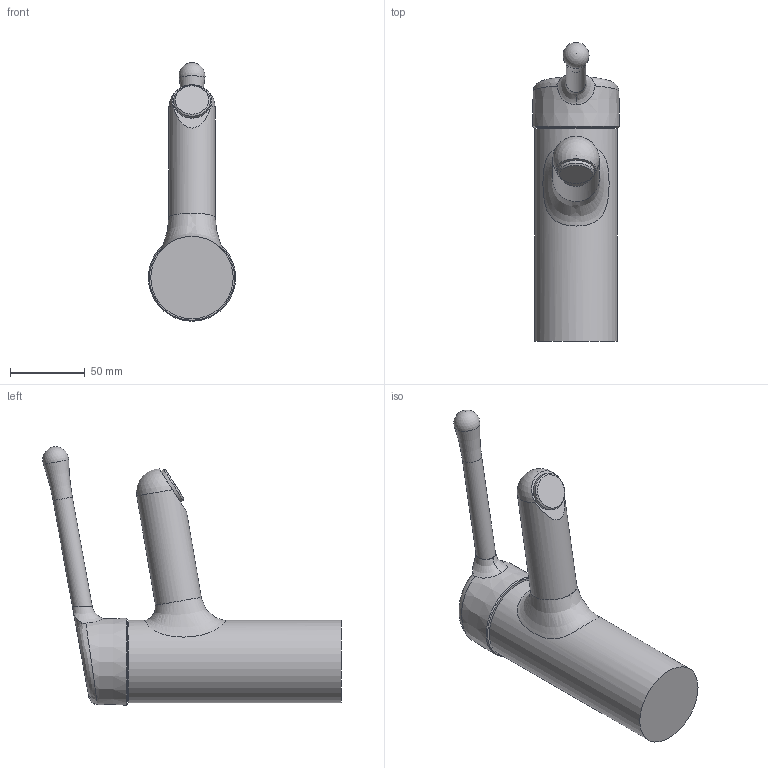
import cadquery as cq
import math

TOTAL_LENGTH = 199.27
TOTAL_HEIGHT = 172.46

BODY_RADIUS = 27.5

NECK_RADIUS = 50.76 / 2
NECK_START_Y = 142.0
NECK_END_Y = 150.0

CAP_FRONT_RADIUS = 58.18 / 2
CAP_BACK_RADIUS = 28.1
CAP_FRONT_Y = 142.7
CAP_BACK_Y = 190.0
CAP_CHAMFER = 0.7
CAP_ROUND = 6.0

LEVER_TILT = 10.3
ROD_RADIUS = 13.0 / 2
KNOB_RADIUS = 8.7
KNOB_Y = TOTAL_LENGTH - KNOB_RADIUS
KNOB_Z = TOTAL_HEIGHT - CAP_FRONT_RADIUS - KNOB_RADIUS
FLARE_START = 26.5
FLARE_END_ANGLE = 10.6
LEVER_ROOT = 99.5
LEVER_ROOT_WIDTH = 27.0
LEVER_ROOT_ROUND = 10.0
LEVER_ROOT_REACH = 54.0
LEVER_SINK = 12.0

SPOUT_TILT = 9.75
SPOUT_RADIUS = 31.0 / 2
DOME_Y = 121.2
DOME_Z = 113.2
SPOUT_ROOT = 74.0
OUTLET_TILT = 32.5
OUTLET_DEPTH = 8.0
AERATOR_SHIFT = -0.9
AERATOR_RADIUS = 12.2
AERATOR_HEIGHT = 3.3
AERATOR_CHAMFER = 1.0

BLEND_RINGS = 9
BLEND_POINTS = 36
BLEND_OVERLAP = 0.1
LANDING_PASSES = 3
CORE_SHRINK = 0.5

CUT_SIZE = 300.0


def lean_axis(tilt):
    """Unit vector in the YZ plane, leaning back from vertical by the tilt angle."""
    angle = math.radians(tilt)
    return cq.Vector(0, math.sin(angle), math.cos(angle))


def lean_front(tilt):
    """Unit vector square to the leaning axis, pointing to the front."""
    axis = lean_axis(tilt)
    return cq.Vector(0, -axis.z, axis.y)


KNOB_CENTRE = cq.Vector(0, KNOB_Y, KNOB_Z)
DOME_CENTRE = cq.Vector(0, DOME_Y, DOME_Z)
X_DIR = cq.Vector(1, 0, 0)


def body_radius(_y):
    return BODY_RADIUS


def cap_radius(y):
    share = (y - CAP_FRONT_Y) / (CAP_BACK_Y - CAP_FRONT_Y)
    return CAP_FRONT_RADIUS + share * (CAP_BACK_RADIUS - CAP_FRONT_RADIUS)


def ball_arc(angle, foot, tilt, radius, host_radius, hold_tilt):
    """Start, centre and end of the arc touching both a leaning rod and a cylinder along Y.

    foot is the rod's centre point where the blend starts; hold_tilt leans the start ring.
    """
    axis = lean_axis(tilt)
    outward = X_DIR * math.sin(angle) + lean_front(tilt) * math.cos(angle)
    ring_normal = lean_axis(hold_tilt)
    start = foot + outward * radius
    start -= axis * (radius * outward.dot(ring_normal) / axis.dot(ring_normal))
    a = outward.x**2 + outward.z**2 - 1
    b = 2 * (start.x * outward.x + start.z * outward.z - host_radius)
    c = start.x**2 + start.z**2 - host_radius**2
    arc_radius = 2 * c / (math.sqrt(b**2 - 4 * a * c) - b)
    centre = start + outward * arc_radius
    to_centre = cq.Vector(centre.x, 0, centre.z).normalized()
    end = to_centre * host_radius + cq.Vector(0, centre.y, 0)
    return start, centre, end


def arc_points(start, centre, end, count):
    """Evenly spaced points along an arc."""
    first = start - centre
    last = end - centre
    sweep = first.getAngle(last)
    points = []
    for step in range(count):
        turn = sweep * step / (count - 1)
        offset = first * math.sin(sweep - turn) + last * math.sin(turn)
        points.append(centre + offset * (1 / math.sin(sweep)))
    return points


def closed_curve(points):
    return cq.Wire.assembleEdges([cq.Edge.makeSpline(points, periodic=True)])


def make_root_blend(foot, tilt, radius, host_radius, hold_tilt):
    """Solid skirt flowing from a leaning rod into a cylinder along Y."""
    shapes = cq.occ_impl.shapes
    arcs = []
    for step in range(BLEND_POINTS):
        angle = 2 * math.pi * step / BLEND_POINTS
        landing_y = foot.y
        for _ in range(LANDING_PASSES):
            reach = host_radius(landing_y) - BLEND_OVERLAP
            arc = ball_arc(angle, foot, tilt, radius, reach, hold_tilt)
            landing_y = arc[-1].y
        arcs.append(arc_points(*arc, BLEND_RINGS))
    rings = [closed_curve(list(ring)) for ring in zip(*arcs)]
    core_points = []
    for arc in arcs:
        shrunk_y = foot.y + CORE_SHRINK * (arc[-1].y - foot.y)
        core_points.append(cq.Vector(CORE_SHRINK * arc[-1].x, shrunk_y, 0))
    core_ring = closed_curve(core_points)
    skirt = shapes.loft(*rings)
    core = shapes.loft(rings[-1], core_ring, ruled=True)
    lids = [shapes.fill(rings[0]), shapes.fill(core_ring)]
    return cq.Workplane(shapes.solid(shapes.shell(skirt, core, *lids)))


def make_body():
    body = cq.Workplane("XZ").circle(BODY_RADIUS).extrude(-NECK_START_Y)
    neck = cq.Workplane("XZ").circle(NECK_RADIUS).extrude(-NECK_END_Y)
    return body.union(neck)


def lever_back_plane():
    """Plane touching the back of the rod, with its normal pointing to the front."""
    front = lean_front(LEVER_TILT)
    return cq.Plane(origin=KNOB_CENTRE - front * ROD_RADIUS, xDir=X_DIR, normal=front)


def make_cap():
    profile = [
        (0, CAP_FRONT_Y),
        (CAP_FRONT_RADIUS - CAP_CHAMFER, CAP_FRONT_Y),
        (CAP_FRONT_RADIUS, CAP_FRONT_Y + CAP_CHAMFER),
        (CAP_BACK_RADIUS, CAP_BACK_Y),
        (0, CAP_BACK_Y),
    ]
    cone = cq.Workplane("XY").polyline(profile).close().revolve(360, (0, 0), (0, 1))
    behind = cq.Workplane(lever_back_plane()).rect(CUT_SIZE, 2 * CUT_SIZE).extrude(-CUT_SIZE)
    return cone.cut(behind).faces(">Y").edges().fillet(CAP_ROUND)


def make_lever():
    front = lean_front(LEVER_TILT)
    join_angle = math.radians(FLARE_END_ANGLE)
    join = (KNOB_RADIUS * math.cos(join_angle), -KNOB_RADIUS * math.sin(join_angle))
    diagonal = KNOB_RADIUS * math.sqrt(0.5)
    rod_end = -LEVER_ROOT - LEVER_SINK
    return (
        cq.Workplane(cq.Plane(origin=KNOB_CENTRE, xDir=X_DIR, normal=front))
        .moveTo(0, rod_end)
        .lineTo(ROD_RADIUS, rod_end)
        .lineTo(ROD_RADIUS, -FLARE_START)
        .tangentArcPoint(join, relative=False)
        .threePointArc((diagonal, diagonal), (0, KNOB_RADIUS))
        .close()
        .revolve(360, (0, 0), (0, 1))
    )


def make_lever_root():
    foot = KNOB_CENTRE - lean_axis(LEVER_TILT) * LEVER_ROOT
    skirt = make_root_blend(foot, LEVER_TILT, ROD_RADIUS, cap_radius, 0)
    along_lever = cq.selectors.ParallelDirSelector(lean_axis(LEVER_TILT))
    keep = (
        cq.Workplane(lever_back_plane())
        .rect(LEVER_ROOT_WIDTH, 2 * CUT_SIZE)
        .extrude(LEVER_ROOT_REACH)
        .edges(along_lever)
        .fillet(LEVER_ROOT_ROUND)
    )
    return skirt.intersect(keep)


def make_spout():
    axis = lean_axis(SPOUT_TILT)
    round_plane = cq.Plane(origin=DOME_CENTRE, xDir=X_DIR, normal=axis)
    spout = cq.Workplane(round_plane).circle(SPOUT_RADIUS).extrude(-SPOUT_ROOT - SPOUT_RADIUS)
    dome = cq.Workplane(round_plane).sphere(SPOUT_RADIUS)
    facing = lean_front(OUTLET_TILT)
    outlet = cq.Plane(origin=DOME_CENTRE + facing * OUTLET_DEPTH, xDir=X_DIR, normal=facing)
    waste = cq.Workplane(outlet).rect(CUT_SIZE, CUT_SIZE).extrude(CUT_SIZE)
    aerator = (
        cq.Workplane(outlet)
        .center(0, AERATOR_SHIFT)
        .circle(AERATOR_RADIUS)
        .extrude(AERATOR_HEIGHT)
        .faces(cq.selectors.DirectionMinMaxSelector(facing))
        .chamfer(AERATOR_CHAMFER)
    )
    return spout.union(dome).cut(waste).union(aerator)


def make_spout_root():
    foot = DOME_CENTRE - lean_axis(SPOUT_TILT) * SPOUT_ROOT
    return make_root_blend(foot, SPOUT_TILT, SPOUT_RADIUS, body_radius, SPOUT_TILT)


tap = make_body().union(make_spout()).union(make_spout_root())
handle = make_cap().union(make_lever()).union(make_lever_root())
result = tap.union(handle)